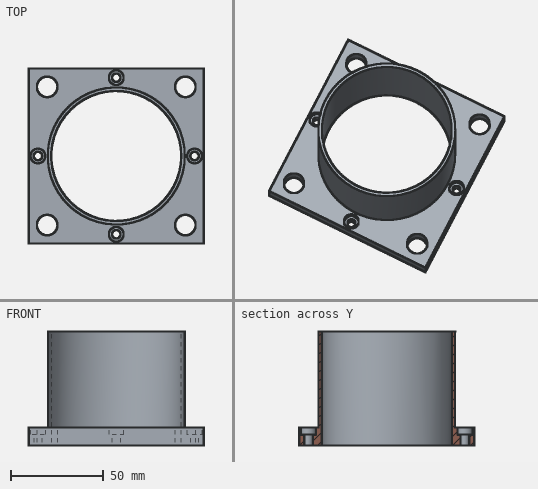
import cadquery as cq

plate_side = 95.0
plate_thickness = 10.0

total_height = 62.0
tube_diameter = 74.4
bore_diameter = 70.4

corner_hole_diameter = 11.0
corner_hole_spacing = 75.0

screw_hole_diameter = 4.5
screw_head_diameter = 8.0
screw_head_depth = 4.0
screw_circle_radius = 42.5
screw_count = 4


def make_flanged_tube():
    """Plate with its underside at Z = 0 and the solid tube on top."""
    plate = cq.Workplane("XY").rect(plate_side, plate_side).extrude(plate_thickness)
    tube = cq.Workplane("XY").circle(tube_diameter / 2).extrude(total_height)
    return plate.union(tube)


def cut_bore(body):
    bore = cq.Workplane("XY").circle(bore_diameter / 2).extrude(total_height)
    return body.cut(bore)


def cut_corner_holes(body):
    holes = (
        cq.Workplane("XY")
        .rect(corner_hole_spacing, corner_hole_spacing, forConstruction=True)
        .vertices()
        .circle(corner_hole_diameter / 2)
        .extrude(plate_thickness)
    )
    return body.cut(holes)


def cut_screw_holes(body):
    """Through holes with a head recess sunk from the plate's top face."""
    return (
        body.copyWorkplane(cq.Workplane("XY", origin=(0, 0, plate_thickness)))
        .polarArray(screw_circle_radius, 0, 360, screw_count)
        .cboreHole(screw_hole_diameter, screw_head_diameter, screw_head_depth, plate_thickness)
    )


result = make_flanged_tube()
result = cut_bore(result)
result = cut_corner_holes(result)
result = cut_screw_holes(result)